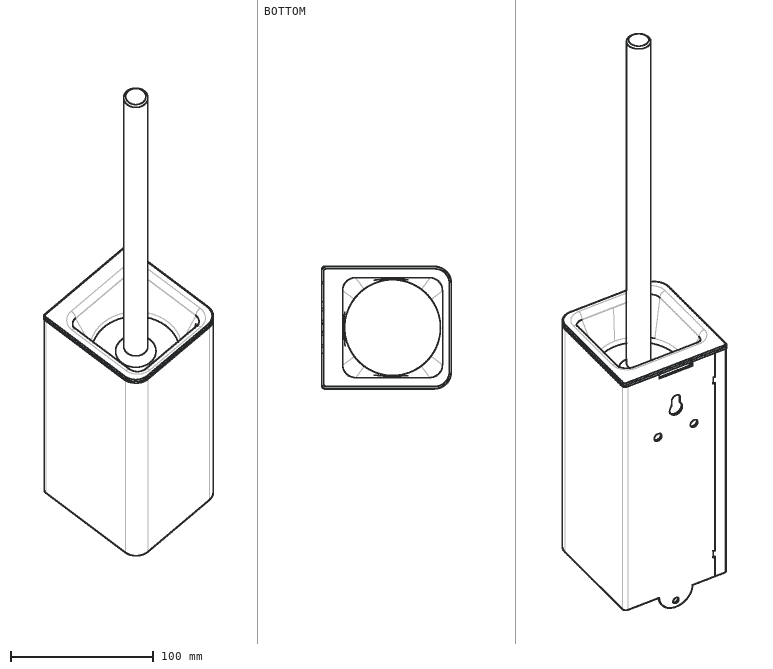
import cadquery as cq

TOTAL_HEIGHT = 473.0
RIM_TOP = 216.0
HOUSING_BOTTOM = 13.5

BACK = -49.5

RIM_THICKNESS = 3.0
RIM_FRONT = 41.0
RIM_WIDTH = 86.0
RIM_BACK_RADIUS = 2.5
RIM_FRONT_RADIUS = 12.5
RIM_CHAMFER = 1.0

SHEET = 1.5
HOUSING_FRONT = 41.0
HOUSING_WIDTH = 85.0
HOUSING_BACK_RADIUS = 3.0
HOUSING_FRONT_RADIUS = 11.5
TONGUE_RADIUS = HOUSING_BOTTOM
TONGUE_HOLE_Z = 5.5
TONGUE_HOLE_DIAMETER = 4.5
NOTCH_DEPTH = 4.0

KEYHOLE_Z = 177.0
KEYHOLE_DIAMETER = 10.5
KEYHOLE_SLOT_WIDTH = 7.0
KEYHOLE_SLOT_RISE = 8.5
SCREW_HOLE_Z = 157.5
SCREW_HOLE_SPACING = 30.0
SCREW_HOLE_DIAMETER = 6.0

SEAM_Y = -32.0
SEAM_GAP = 0.25
SEAM_KEY_HEIGHT = 5.5
SEAM_KEY_DEPTH = 1.5
SEAM_KEY_LEVELS = (34.0, 189.0)

CUP_WALL = 1.5
LIP_RADIUS = 4.3
MOUTH_DEPTH = 4.5
MOUTH_HALF = 33.5
MOUTH_CORNER_RADIUS = 7.5
CUP_INNER_RADIUS = 32.0
TRANSITION_BOTTOM = 182.5

HEAD_RADIUS = 30.7
HEAD_TOP = 179.0
ROD_RADIUS = 8.5
HUB_HEIGHT = 5.5
HUB_RADIUS = ROD_RADIUS + HUB_HEIGHT
ROD_CHAMFER = 1.5

RIM_BOTTOM = RIM_TOP - RIM_THICKNESS
HOUSING_HEIGHT = RIM_BOTTOM - HOUSING_BOTTOM
CUP_FLOOR_TOP = HOUSING_BOTTOM + CUP_WALL
MOUTH_BOTTOM = RIM_TOP - MOUTH_DEPTH


def corner_rounded_block(back, front, width, height, bottom, back_radius, front_radius):
    """Upright block with one radius on the back corners and another on the front ones."""
    return (
        cq.Workplane("XY", origin=((back + front) / 2, 0, bottom))
        .rect(front - back, width)
        .extrude(height)
        .edges("|Z and <X")
        .fillet(back_radius)
        .edges("|Z and >X")
        .fillet(front_radius)
    )


def cylinder(radius, bottom, top):
    """Upright cylinder on the rod axis."""
    return cq.Workplane("XY", origin=(0, 0, bottom)).circle(radius).extrude(top - bottom)


def rounded_square(half, radius, bottom, height):
    """Upright block with a rounded square section, centred on the rod axis."""
    return (
        cq.Workplane("XY", origin=(0, 0, bottom))
        .rect(2 * half, 2 * half)
        .extrude(height)
        .edges("|Z")
        .fillet(radius)
    )


def back_plane(z):
    """Workplane on the outer back face at height z, with local axes along +Y and +Z."""
    return cq.Workplane("YZ", origin=(BACK, 0, z))


def seam_gap():
    """Narrow slit along the seam, stepping around each interlocking key."""
    half_key = SEAM_KEY_HEIGHT / 2
    key_y = SEAM_Y + SEAM_KEY_DEPTH
    path = [(SEAM_Y, HOUSING_BOTTOM)]
    for level in SEAM_KEY_LEVELS:
        path += [
            (SEAM_Y, level - half_key),
            (key_y, level - half_key),
            (key_y, level + half_key),
            (SEAM_Y, level + half_key),
        ]
    path.append((SEAM_Y, RIM_BOTTOM))
    return back_plane(0).polyline(path).offset2D(SEAM_GAP / 2).extrude(SHEET)


def make_housing():
    outer = corner_rounded_block(
        BACK, HOUSING_FRONT, HOUSING_WIDTH, HOUSING_HEIGHT, HOUSING_BOTTOM,
        HOUSING_BACK_RADIUS, HOUSING_FRONT_RADIUS,
    )
    inner = corner_rounded_block(
        BACK + SHEET, HOUSING_FRONT - SHEET, HOUSING_WIDTH - 2 * SHEET,
        HOUSING_HEIGHT, HOUSING_BOTTOM, HOUSING_BACK_RADIUS - SHEET, HOUSING_FRONT_RADIUS - SHEET,
    )
    tongue = back_plane(HOUSING_BOTTOM).circle(TONGUE_RADIUS).extrude(SHEET)
    housing = outer.cut(inner).union(tongue)

    notch = back_plane(RIM_BOTTOM).rect(2 * TONGUE_RADIUS, 2 * NOTCH_DEPTH)
    tongue_hole = back_plane(TONGUE_HOLE_Z).circle(TONGUE_HOLE_DIAMETER / 2)
    keyhole = back_plane(KEYHOLE_Z).circle(KEYHOLE_DIAMETER / 2)
    keyhole_slot = back_plane(KEYHOLE_Z + KEYHOLE_SLOT_RISE / 2).slot2D(
        KEYHOLE_SLOT_RISE + KEYHOLE_SLOT_WIDTH, KEYHOLE_SLOT_WIDTH, 90
    )
    screw_holes = (
        back_plane(SCREW_HOLE_Z)
        .pushPoints([(-SCREW_HOLE_SPACING / 2, 0), (SCREW_HOLE_SPACING / 2, 0)])
        .circle(SCREW_HOLE_DIAMETER / 2)
    )
    for profile in (notch, tongue_hole, keyhole, keyhole_slot, screw_holes):
        housing = housing.cut(profile.extrude(SHEET))
    return housing.cut(seam_gap())


def square_to_round(half, corner_radius, radius):
    """Transition from the rounded square mouth down to the round cup."""
    rise = cq.Location(cq.Vector(0, 0, MOUTH_BOTTOM - TRANSITION_BOTTOM))
    square = cq.Sketch().rect(2 * half, 2 * half).vertices().fillet(corner_radius)
    circle = cq.Sketch().circle(radius)
    return (
        cq.Workplane("XY", origin=(0, 0, TRANSITION_BOTTOM))
        .placeSketch(circle, square.moved(rise))
        .loft()
    )


def cup_stack(half, corner_radius, radius, bottom):
    """Solid stack of the square mouth, the transition and the round lower part."""
    return (
        rounded_square(half, corner_radius, MOUTH_BOTTOM, MOUTH_DEPTH)
        .union(square_to_round(half, corner_radius, radius))
        .union(cylinder(radius, bottom, TRANSITION_BOTTOM))
    )


def make_cup():
    rim = corner_rounded_block(
        BACK, RIM_FRONT, RIM_WIDTH, RIM_THICKNESS, RIM_BOTTOM, RIM_BACK_RADIUS, RIM_FRONT_RADIUS
    )
    rim = rim.faces(">Z").chamfer(RIM_CHAMFER)
    outside = cup_stack(
        MOUTH_HALF + CUP_WALL, MOUTH_CORNER_RADIUS + CUP_WALL, CUP_INNER_RADIUS + CUP_WALL, HOUSING_BOTTOM
    )
    inside = cup_stack(MOUTH_HALF, MOUTH_CORNER_RADIUS, CUP_INNER_RADIUS, CUP_FLOOR_TOP)
    cup = rim.union(outside).cut(inside)
    mouth_edges = cup.faces(">Z").val().innerWires()[0].Edges()
    return cup.newObject(mouth_edges).fillet(LIP_RADIUS)


def make_head():
    """Brush head standing on the cup floor, with a hub blending up to the rod."""
    return (
        cq.Workplane("XZ")
        .moveTo(0, CUP_FLOOR_TOP)
        .lineTo(HEAD_RADIUS, CUP_FLOOR_TOP)
        .lineTo(HEAD_RADIUS, HEAD_TOP)
        .lineTo(HUB_RADIUS, HEAD_TOP)
        .lineTo(ROD_RADIUS, HEAD_TOP + HUB_HEIGHT)
        .lineTo(ROD_RADIUS, HEAD_TOP)
        .lineTo(0, HEAD_TOP)
        .close()
        .revolve(360, (0, 0, 0), (0, 1, 0))
    )


def make_rod():
    return cylinder(ROD_RADIUS, HEAD_TOP, TOTAL_HEIGHT).faces(">Z").chamfer(ROD_CHAMFER)


housing = make_housing()
cup = make_cup()
head = make_head()
rod = make_rod()
result = cq.Compound.makeCompound([housing.val(), cup.val(), head.val(), rod.val()])